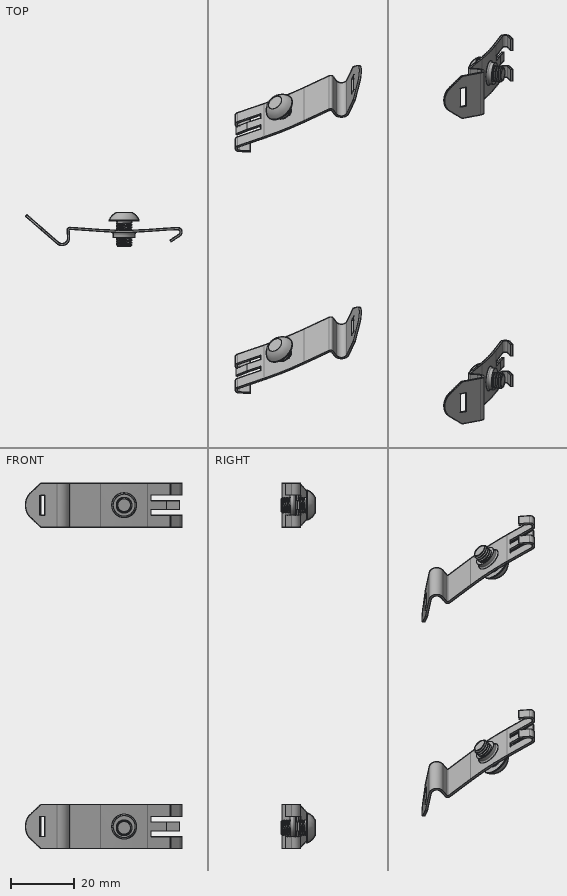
import cadquery as cq
import math


overall_height = 115.9
clip_width = 14.0
clip_spacing = overall_height - clip_width

sheet = 0.7
flat_angle = 4.0
riser_angle = 274.0
lever_angle = 139.0
hook_angle = 213.7
left_flat_length = 17.8
right_flat_length = 21.2
riser_length = 8.0
lever_length = 18.3
hook_length = 7.8
crown_radius = 106.6
shoulder_radius = 0.6
trough_radius = 2.1
hook_radius = 1.2

tip_radius = 4.6
taper_length = 6.5
pull_slot_length = 6.3
pull_slot_width = 2.2
pull_slot_from_tip = 7.0

tongue_width = 2.9
tongue_gap = 1.7
gap_start = 8.6
tongue_bend = 13.5
tongue_end = 17.6

boss_root_radius = 3.9
boss_face_radius = 3.5
boss_root_level = -0.1
boss_face_level = -1.7

shank_radius = 2.49
shank_length = 8.0
tip_level = -4.5
tip_chamfer = 0.5
thread_pitch = 0.8
thread_depth = 0.5
thread_groove_width = 0.7
groove_overcut = 0.1
head_radius = 4.8
head_top_radius = 2.4
head_height = 2.8
head_rim = 0.3
dome_bulge = 0.2
lower_screw_shift = -0.4


def step(point, angle, length):
    """Point reached from `point` by moving `length` in the XY plane at `angle` degrees from +X."""
    turn = math.radians(angle)
    return (point[0] + length * math.cos(turn), point[1] + length * math.sin(turn))


crown = (0.0, 0.0)
shoulder = step(crown, 180 - flat_angle, left_flat_length)
trough = step(shoulder, riser_angle, riser_length)
lever_tip = step(trough, lever_angle, lever_length)
lever_direction = step((0, 0), lever_angle + 180, 1)
hook_corner = step(crown, flat_angle, right_flat_length)
hook_tip = step(hook_corner, hook_angle, hook_length)


def lever_plane():
    """Plane on the lever's mid-surface at its tip: local X runs back along the lever, local Y is Z."""
    normal = (lever_direction[1], -lever_direction[0], 0)
    return cq.Plane(origin=(*lever_tip, 0), xDir=(*lever_direction, 0), normal=normal)


def bent_strip():
    corners = [lever_tip, trough, shoulder, crown, hook_corner, hook_tip]
    path = cq.Wire.makePolygon([cq.Vector(x, y, 0) for x, y in corners])
    bends = [
        (trough, trough_radius),
        (shoulder, shoulder_radius),
        (crown, crown_radius),
        (hook_corner, hook_radius),
    ]
    for corner, radius in bends:
        place = cq.Vector(*corner, 0)
        vertex = min(path.Vertices(), key=lambda v: (v.Center() - place).Length)
        path = path.fillet2D(radius, [vertex])
    end = cq.Plane(origin=(*lever_tip, 0), xDir=(0, 0, 1), normal=(*lever_direction, 0))
    return cq.Workplane(end).rect(clip_width, sheet).sweep(cq.Workplane(path))


def lever_trim():
    """Material to remove so that the lever narrows to a rounded tip."""
    half = clip_width / 2
    reach = taper_length - tip_radius
    distance = math.hypot(reach, half)
    turn = math.atan2(half, reach) + math.acos(tip_radius / distance)
    tangent_x = tip_radius + tip_radius * math.cos(turn)
    tangent_z = tip_radius * math.sin(turn)
    outline = (
        cq.Workplane(lever_plane())
        .moveTo(taper_length, half)
        .lineTo(tangent_x, tangent_z)
        .threePointArc((0, 0), (tangent_x, -tangent_z))
        .lineTo(taper_length, -half)
        .close()
        .extrude(sheet, both=True)
    )
    end_block = (
        cq.Workplane(lever_plane())
        .center(taper_length / 2, 0)
        .rect(taper_length, 2 * clip_width)
        .extrude(sheet, both=True)
    )
    return end_block.cut(outline)


def pull_slot():
    return (
        cq.Workplane(lever_plane())
        .center(pull_slot_from_tip, 0)
        .rect(pull_slot_width, pull_slot_length)
        .extrude(sheet, both=True)
    )


def fork_bar(start_x, end_x, depth, width, level=0.0):
    """Block from start_x to end_x, centred on Y = level and Z = 0."""
    bar = cq.Workplane().box(end_x - start_x, depth, width, centered=(False, True, True))
    return bar.translate((start_x, level, 0))


def fork_opening():
    """Space between the hooked tabs, less the straight part of the tongue."""
    depth = 2 * hook_length
    opening = fork_bar(gap_start, 2 * right_flat_length, depth, tongue_width + 2 * tongue_gap)
    tongue = fork_bar(gap_start, tongue_bend, depth, tongue_width)
    return opening.cut(tongue)


def tongue_tip():
    """End of the tongue, bent back to lie along X."""
    level = tongue_bend * math.tan(math.radians(flat_angle))
    return fork_bar(tongue_bend, tongue_end, sheet, tongue_width, level)


def boss():
    """Collar standing out of the clip around the screw hole, flared where it leaves the sheet."""
    flare = boss_root_radius - boss_face_radius
    flare_middle = flare * (1 - math.sqrt(0.5))
    return (
        cq.Workplane("XY")
        .moveTo(0, 0)
        .lineTo(boss_root_radius, 0)
        .lineTo(boss_root_radius, boss_root_level)
        .threePointArc(
            (boss_face_radius + flare_middle, boss_root_level - flare_middle),
            (boss_face_radius, boss_root_level - flare),
        )
        .lineTo(boss_face_radius, boss_face_level)
        .lineTo(0, boss_face_level)
        .close()
        .revolve(360, (0, 0), (0, 1))
    )


def make_clip(screw_shift):
    hole_centre = (0, 0, screw_shift)
    hole = cq.Workplane("XZ", origin=hole_centre).circle(shank_radius).extrude(shank_length, both=True)
    clip = bent_strip().cut(lever_trim()).cut(pull_slot()).cut(fork_opening())
    return clip.union(tongue_tip()).union(boss()).cut(hole)


def thread_groove():
    """Helical V-groove around a shank that stands on its tip at Z = 0, ending just below the head."""
    start = -thread_pitch
    end = shank_length - thread_groove_width / 2
    helix = cq.Wire.makeHelix(thread_pitch, end - start, shank_radius).translate(cq.Vector(0, 0, start))
    outer_radius = shank_radius + groove_overcut
    outer_half_width = thread_groove_width / 2 * (1 + groove_overcut / thread_depth)
    return (
        cq.Workplane("XZ")
        .polyline([
            (shank_radius - thread_depth, start),
            (outer_radius, start - outer_half_width),
            (outer_radius, start + outer_half_width),
        ])
        .close()
        .sweep(cq.Workplane(helix), isFrenet=True)
    )


def make_screw():
    """Button-head screw along Y with its tip at tip_level."""
    rim_top = shank_length + head_rim
    head_top = shank_length + head_height
    dome_middle = (
        (head_radius + head_top_radius) / 2 + dome_bulge,
        (rim_top + head_top) / 2 + dome_bulge,
    )
    blank = (
        cq.Workplane("XZ")
        .moveTo(0, 0)
        .lineTo(shank_radius - tip_chamfer, 0)
        .lineTo(shank_radius, tip_chamfer)
        .lineTo(shank_radius, shank_length)
        .lineTo(head_radius, shank_length)
        .lineTo(head_radius, rim_top)
        .threePointArc(dome_middle, (head_top_radius, head_top))
        .lineTo(0, head_top)
        .close()
        .revolve(360, (0, 0), (0, 1))
    )
    screw = blank.cut(thread_groove())
    return screw.rotate((0, 0, 0), (1, 0, 0), -90).translate((0, tip_level, 0))


bodies = []
for clip_level, screw_shift in [(0, lower_screw_shift), (clip_spacing, 0)]:
    clip = make_clip(screw_shift).translate((0, 0, clip_level))
    screw = make_screw().translate((0, 0, clip_level + screw_shift))
    bodies += [clip.val(), screw.val()]

result = cq.Compound.makeCompound(bodies)